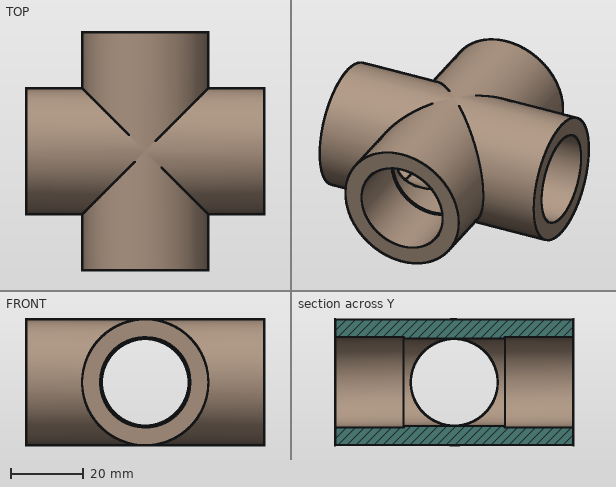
import cadquery as cq

span = 66.0
outer_diameter = 35.0
bore_diameter = 24.0
socket_diameter = 25.0
socket_depth = 19.0


def along_both_axes(diameter, length):
    """Two centred cylinders crossing at the origin, along X and along Y."""
    along_x = cq.Workplane("YZ").circle(diameter / 2).extrude(length / 2, both=True)
    along_y = cq.Workplane("XZ").circle(diameter / 2).extrude(length / 2, both=True)
    return along_x.union(along_y)


def cut_socket(body, face):
    """Widen the bore at one open end to receive a pipe."""
    return body.faces(face).workplane(origin=(0, 0, 0)).circle(socket_diameter / 2).cutBlind(-socket_depth)


result = along_both_axes(outer_diameter, span).cut(along_both_axes(bore_diameter, span))
for end_face in ("<X", ">X", "<Y", ">Y"):
    result = cut_socket(result, end_face)